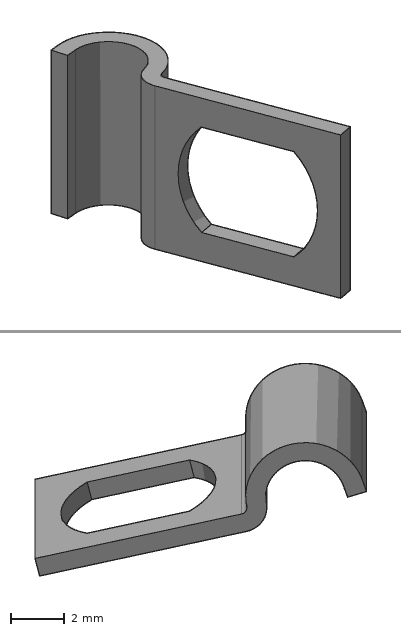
import cadquery as cq
import math

length = 12.79
depth = 3.15
height = 7.0
thickness = 0.75
arch_outer_radius = 2.25
bend_inner_radius = 0.25
lip_length = 0.52
lip_lean = math.radians(5.0)
hole_diameter = 6.0
hole_flat_height = 4.5
hole_edge_distance = 4.0

arch_inner_radius = arch_outer_radius - thickness
bend_outer_radius = bend_inner_radius + thickness

arch_x = arch_outer_radius * math.cos(lip_lean) + lip_length * math.sin(lip_lean)
arch_y = depth - arch_outer_radius
bend_y = bend_outer_radius
center_distance = arch_outer_radius + bend_inner_radius
joint_angle = math.asin((bend_y - arch_y) / center_distance)
bend_x = arch_x + center_distance * math.cos(joint_angle)


def polar(center_x, center_y, radius, angle):
    """Point on a circle at an angle measured from +X."""
    return (center_x + radius * math.cos(angle), center_y + radius * math.sin(angle))


def arch_point(radius, angle):
    return polar(arch_x, arch_y, radius, angle)


def bend_point(radius, angle):
    return polar(bend_x, bend_y, radius, angle)


def lip_end(radius):
    """End of the straight lip that leaves the arch tangentially."""
    x, y = arch_point(radius, lip_start)
    return (x - lip_length * math.sin(lip_lean), y - lip_length * math.cos(lip_lean))


lip_start = math.pi - lip_lean
arch_middle = math.pi / 2
bend_start = math.pi + joint_angle
bend_end = 1.5 * math.pi
bend_middle = (bend_start + bend_end) / 2


def bent_strip():
    profile = (
        cq.Workplane("XY")
        .moveTo(*lip_end(arch_outer_radius))
        .lineTo(*arch_point(arch_outer_radius, lip_start))
        .threePointArc(
            arch_point(arch_outer_radius, arch_middle),
            arch_point(arch_outer_radius, joint_angle),
        )
        .threePointArc(
            bend_point(bend_inner_radius, bend_middle),
            bend_point(bend_inner_radius, bend_end),
        )
        .lineTo(length, thickness)
        .lineTo(length, 0)
        .lineTo(bend_x, 0)
        .threePointArc(
            bend_point(bend_outer_radius, bend_middle),
            bend_point(bend_outer_radius, bend_start),
        )
        .threePointArc(
            arch_point(arch_inner_radius, arch_middle),
            arch_point(arch_inner_radius, lip_start),
        )
        .lineTo(*lip_end(arch_inner_radius))
        .close()
    )
    return profile.extrude(height)


def double_flat_hole():
    """Round hole cutter with flats at top and bottom."""
    hole_plane = cq.Workplane("XZ", origin=(length - hole_edge_distance, 0, height / 2))
    disc = hole_plane.circle(hole_diameter / 2).extrude(-thickness)
    band = hole_plane.rect(hole_diameter, hole_flat_height).extrude(-thickness)
    return disc.intersect(band)


result = bent_strip().cut(double_flat_hole())